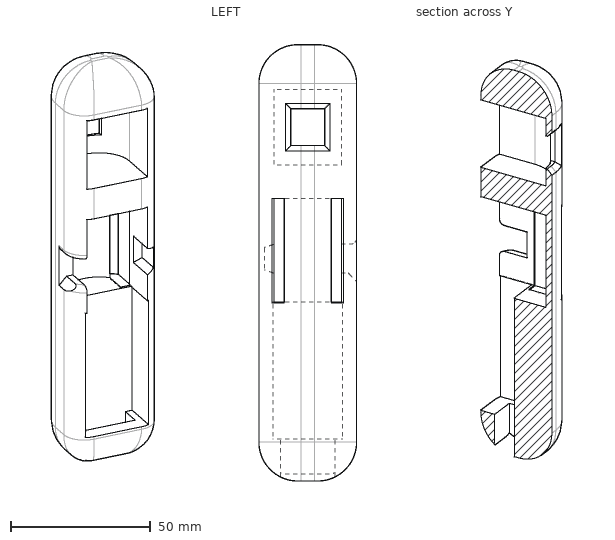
import cadquery as cq

rim_reach = 1.0
edge_band = 0.1

width_x = 30.0
width_y = 35.0
height = 156.0
back_radius = 15.0
front_radius = 8.0
dome_radius = 14.0
overshoot = 5.0

cavity_width = 24.0
cavity_back = 2.7
lower_cavity = (64.0, 101.0)
upper_cavity = (113.0, 140.0)

channel_back = 16.0
channel_width = 25.0
channel_bottom = 15.0

window_width = 12.0
window_height = 13.0
window_chamfer = 2.0

slot_width = 4.3
slot_height = 37.4
slot_offset = 10.6
slot_center_z = 82.3
slot_end_x = 15.0

notch_start_x = 18.0
notch_center_z = 79.5
notch_height = 10.4
notch_round = 2.2
ramp_drop = 3.0
pocket_height = 8.0
pocket_skin = 2.0

port_depth_x = 8.0
port_width = 19.6


def block(x_range, y_range, z_range):
    """Box spanning the given (low, high) ranges."""
    sizes = [high - low for low, high in (x_range, y_range, z_range)]
    corner = (x_range[0], y_range[0], z_range[0])
    return cq.Workplane("XY").box(*sizes, centered=False).translate(corner)


def centered_range(middle, size):
    return (middle - size / 2, middle + size / 2)


def make_body():
    body = cq.Workplane("XY").box(width_x, width_y, height, centered=(False, True, False))
    body = body.edges("|Z and <X").fillet(back_radius)
    body = body.faces("<Z or >Z").edges().fillet(dome_radius)
    return body.edges("|Z and >X").fillet(front_radius)


def cut_window(body):
    """Square window whose outer rim is chamfered along the curved back."""
    z_range = centered_range(sum(upper_cavity) / 2, window_height)
    y_range = centered_range(0, window_width)
    body = body.cut(block((-overshoot, cavity_back + cavity_width / 2), y_range, z_range))
    rim = cq.selectors.BoxSelector(
        (-rim_reach, -window_width, z_range[0] - rim_reach),
        (rim_reach, window_width, z_range[1] + rim_reach),
    )
    return body.edges(rim).chamfer(window_chamfer)


def cavity(z_range):
    """Compartment with a half-round back, open toward +X."""
    radius = cavity_width / 2
    center_x = cavity_back + radius
    low, high = z_range
    back = cq.Workplane("XY", origin=(center_x, 0, low)).circle(radius).extrude(high - low)
    return back.union(block((center_x, width_x + overshoot), (-radius, radius), z_range))


def extrude_along_x(points):
    """Cutter with a YZ outline, running from the start of the notch out past +X."""
    outline = cq.Workplane("YZ", origin=(notch_start_x, 0, 0)).polyline(points).close()
    return outline.extrude(width_x)


def cut_notch(body):
    outer_y = width_y / 2
    inner_y = cavity_width / 2
    pocket_y = outer_y - pocket_skin
    bottom, top = centered_range(notch_center_z, notch_height)
    pocket_bottom, pocket_top = centered_range(notch_center_z, pocket_height)

    passage = [
        (-outer_y, bottom),
        (inner_y, bottom),
        (pocket_y, pocket_bottom),
        (pocket_y, pocket_top),
        (inner_y, top),
        (-outer_y, top),
    ]
    body = body.cut(extrude_along_x(passage))

    for rim_z in (bottom, top):
        rim = cq.selectors.BoxSelector(
            (notch_start_x + rim_reach, -width_y, rim_z - edge_band),
            (width_x, -inner_y - rim_reach, rim_z + edge_band),
        )
        body = body.edges(rim).fillet(notch_round)

    ramp = [(-outer_y, bottom), (-outer_y, bottom - ramp_drop), (-outer_y + ramp_drop, bottom)]
    return body.cut(extrude_along_x(ramp))


def cut_slots(body):
    for side in (-1, 1):
        y_range = centered_range(side * slot_offset, slot_width)
        z_range = centered_range(slot_center_z, slot_height)
        body = body.cut(block((-overshoot, slot_end_x), y_range, z_range))
    return body


def cut_channel(body):
    x_range = (channel_back, width_x + overshoot)
    z_range = (channel_bottom, lower_cavity[0])
    return body.cut(block(x_range, centered_range(0, channel_width), z_range))


def cut_port(body):
    x_range = (channel_back, channel_back + port_depth_x)
    z_range = (-overshoot, channel_bottom)
    return body.cut(block(x_range, centered_range(0, port_width), z_range))


body = cut_window(make_body())
body = cut_slots(body)
body = body.cut(cavity(lower_cavity)).cut(cavity(upper_cavity))
body = cut_channel(body)
body = cut_notch(body)
result = cut_port(body)